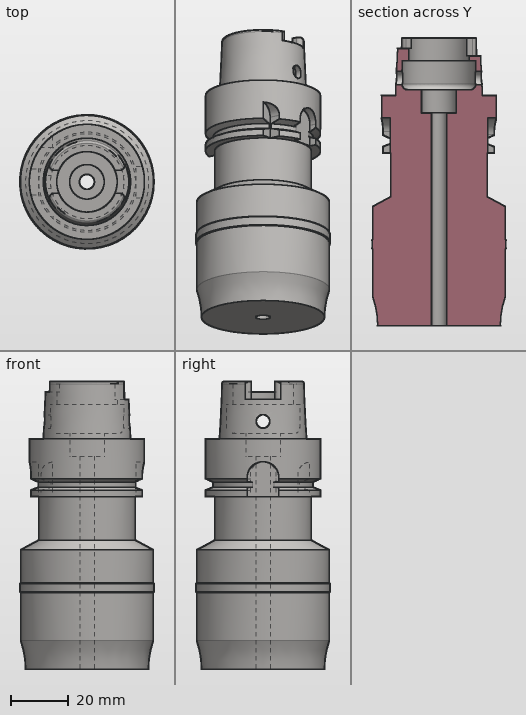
import cadquery as cq
import math

CUT_REACH = 60.0

shank_length = 20.0
shank_base_radius = 15.2
shank_top_radius = 14.25
shank_rim_radius = 0.8

flange_radius = 20.0
flange_bottom = -20.0
groove_radius = 17.4
groove_upper_edge = -13.8
groove_upper_floor = -15.0
groove_lower_floor = -16.7
groove_lower_edge = -17.75

neck_radius = 16.8
neck_bottom = -35.1
body_radius = 23.1
body_top = -38.5
ring_radius = 46.7 / 2
ring_top = -50.0
ring_bottom = -53.4
ring_chamfer = 0.25
flare_top = -70.0
body_bottom = -80.0
nose_radius = 21.4

mouth_radius = 10.5
mouth_depth = 8.0
undercut_radius = 12.75
bore_floor = 2.0
bore_floor_rounding = 2.0
tube_radius = 6.0
tube_depth = 8.0
channel_radius = 2.55

cross_hole_radius = 2.3
cross_hole_height = 6.1

drive_slot_width = 8.05
drive_slot_rounding = 1.5
left_slot_depth = 3.6
right_slot_depth = 6.2

keyway_top = -7.9
keyway_floor = 17.0
left_keyway_width = 9.0
right_keyway_width = 11.0

notch_floor = 12.0
notch_width = 9.0


def turned_body():
    """Outside of the part, as a half profile turned about Z."""
    flare_height = flare_top - body_bottom
    flare_step = body_radius - nose_radius
    flare_radius = (flare_height**2 + flare_step**2) / (2 * flare_step)
    half_angle = math.asin(flare_height / flare_radius) / 2
    flare_middle = (
        nose_radius + flare_radius * (1 - math.cos(half_angle)),
        body_bottom + flare_radius * math.sin(half_angle),
    )
    profile = (
        cq.Workplane("XZ")
        .moveTo(0, body_bottom)
        .lineTo(nose_radius, body_bottom)
        .threePointArc(flare_middle, (body_radius, flare_top))
        .lineTo(body_radius, ring_bottom)
        .lineTo(ring_radius, ring_bottom + ring_chamfer)
        .lineTo(ring_radius, ring_top - ring_chamfer)
        .lineTo(body_radius, ring_top)
        .lineTo(body_radius, body_top)
        .lineTo(neck_radius, neck_bottom)
        .lineTo(neck_radius, flange_bottom)
        .lineTo(flange_radius, flange_bottom)
        .lineTo(flange_radius, groove_lower_edge)
        .lineTo(groove_radius, groove_lower_floor)
        .lineTo(groove_radius, groove_upper_floor)
        .lineTo(flange_radius, groove_upper_edge)
        .lineTo(flange_radius, 0)
        .lineTo(shank_base_radius, 0)
        .lineTo(shank_top_radius, shank_length)
        .lineTo(0, shank_length)
        .close()
    )
    body = profile.revolve(360, (0, 0, 0), (0, 1, 0))
    return body.faces(">Z").edges().fillet(shank_rim_radius)


def bore():
    """Undercut shank bore, coolant tube seat and the channel through the part."""
    mouth_bottom = shank_length - mouth_depth
    round_centre = (undercut_radius - bore_floor_rounding, bore_floor + bore_floor_rounding)
    round_middle = (
        round_centre[0] + bore_floor_rounding * math.sqrt(0.5),
        round_centre[1] - bore_floor_rounding * math.sqrt(0.5),
    )
    profile = (
        cq.Workplane("XZ")
        .moveTo(0, shank_length)
        .lineTo(mouth_radius, shank_length)
        .lineTo(mouth_radius, mouth_bottom)
        .lineTo(undercut_radius, mouth_bottom)
        .lineTo(undercut_radius, round_centre[1])
        .threePointArc(round_middle, (round_centre[0], bore_floor))
        .lineTo(tube_radius, bore_floor)
        .lineTo(tube_radius, bore_floor - tube_depth)
        .lineTo(channel_radius, bore_floor - tube_depth)
        .lineTo(channel_radius, body_bottom)
        .lineTo(0, body_bottom)
        .close()
    )
    return profile.revolve(360, (0, 0, 0), (0, 1, 0))


def cross_hole():
    """Radial hole along X through both walls of the shank."""
    return (
        cq.Workplane("YZ")
        .center(0, cross_hole_height)
        .circle(cross_hole_radius)
        .extrude(CUT_REACH / 2, both=True)
    )


def drive_slot(side, depth):
    """Slot in the shank's end; its walls curve away into the outer surface."""
    half_width = drive_slot_width / 2
    centre_y = half_width + drive_slot_rounding
    centre_x = math.sqrt((shank_top_radius - drive_slot_rounding) ** 2 - centre_y**2)
    bearing = math.atan2(centre_y, centre_x)
    middle_angle = (bearing - math.pi / 2) / 2
    tangent_x = shank_top_radius * math.cos(bearing)
    tangent_y = shank_top_radius * math.sin(bearing)
    middle_x = centre_x + drive_slot_rounding * math.cos(middle_angle)
    middle_y = centre_y + drive_slot_rounding * math.sin(middle_angle)
    return (
        cq.Workplane("XY")
        .workplane(offset=shank_length - depth)
        .moveTo(0, -half_width)
        .lineTo(side * centre_x, -half_width)
        .threePointArc((side * middle_x, -middle_y), (side * tangent_x, -tangent_y))
        .lineTo(side * flange_radius, -tangent_y)
        .lineTo(side * flange_radius, tangent_y)
        .lineTo(side * tangent_x, tangent_y)
        .threePointArc((side * middle_x, middle_y), (side * centre_x, half_width))
        .lineTo(0, half_width)
        .close()
        .extrude(depth)
    )


def round_top_slot(side, floor, middle_y, width):
    """Round-topped cut along X, from a floor plane out through one side of the flange."""
    radius = width / 2
    return (
        cq.Workplane("YZ", origin=(side * floor, 0, 0))
        .moveTo(middle_y - radius, flange_bottom)
        .lineTo(middle_y - radius, keyway_top - radius)
        .threePointArc((middle_y, keyway_top), (middle_y + radius, keyway_top - radius))
        .lineTo(middle_y + radius, flange_bottom)
        .close()
        .extrude(side * CUT_REACH)
    )


result = turned_body().cut(bore()).cut(cross_hole())
for side, depth in ((-1, left_slot_depth), (1, right_slot_depth)):
    result = result.cut(drive_slot(side, depth))
for side, width in ((-1, left_keyway_width), (1, right_keyway_width)):
    result = result.cut(round_top_slot(side, keyway_floor, 0, width))
result = result.cut(round_top_slot(-1, notch_floor, notch_floor + notch_width / 2, notch_width))